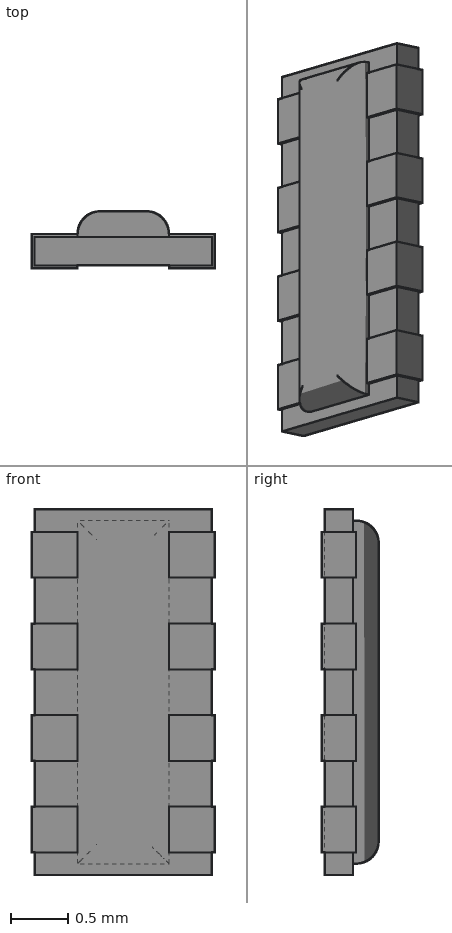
import cadquery as cq

total_width = 1.6
total_depth = 0.5
body_length = 3.2

plating = 0.025
terminal_size = 0.4
terminal_pitch = 0.8
terminals_per_side = 4
terminal_depth = 0.3

lens_width = 0.8
lens_length = 3.0
lens_edge_radius = 0.2

body_width = total_width - 2 * plating
body_depth = terminal_depth - 2 * plating
front_y = -total_depth / 2
body_front_y = front_y + plating
body_back_y = body_front_y + body_depth
lens_height = total_depth / 2 - body_back_y


def block(width, depth, length, start_y):
    """Box centred on X and Z that extends from start_y toward +Y."""
    box = cq.Workplane("XY").box(width, depth, length, centered=(True, False, True))
    return box.translate((0, start_y, 0))


def make_body():
    return block(body_width, body_depth, body_length, body_front_y)


def make_lens():
    lens = block(lens_width, lens_height, lens_length, body_back_y)
    return lens.faces(">Y").edges().fillet(lens_edge_radius)


def make_terminal_row(z):
    """Pair of C-shaped terminals wrapped around both side edges at height z."""
    gap_width = total_width - 2 * terminal_size
    band = block(total_width, terminal_depth, terminal_size, front_y)
    gap = block(gap_width, terminal_depth, terminal_size, front_y)
    return band.cut(gap).translate((0, 0, z))


result = make_body().union(make_lens())
for row in range(terminals_per_side):
    row_z = (row - (terminals_per_side - 1) / 2) * terminal_pitch
    result = result.union(make_terminal_row(row_z))